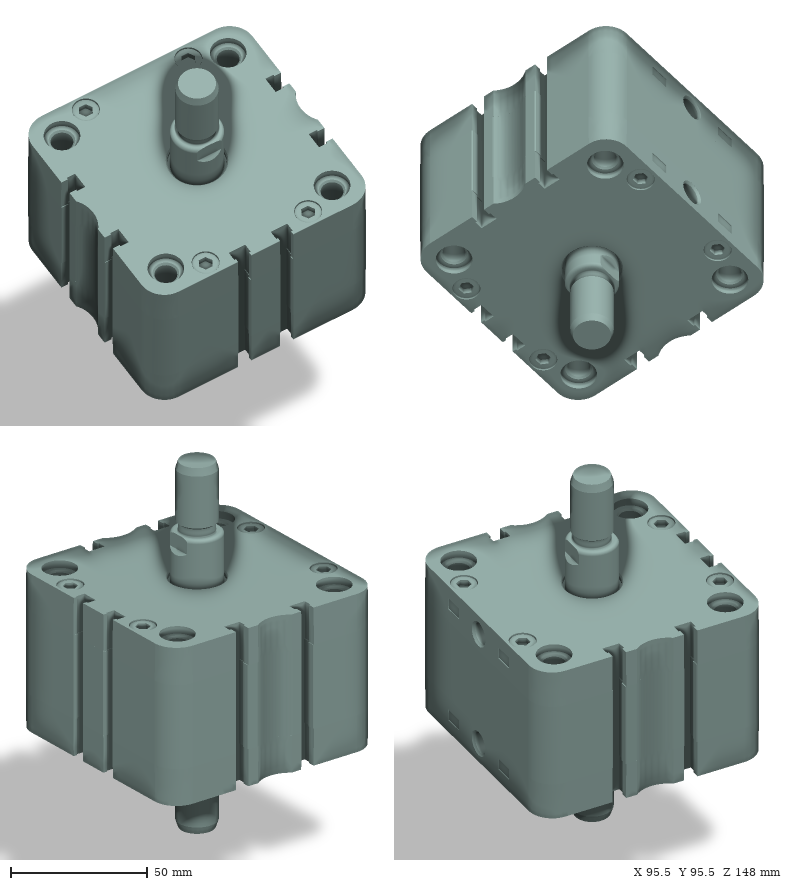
import cadquery as cq
import math


barrel_width = 95.5
barrel_height = 34.0
cap_height = 15.0
draft_angle = 0.5
corner_radius = 10.0
half_width = barrel_width / 2
cap_base_z = barrel_height / 2
block_top_z = cap_base_z + cap_height
cap_draft = cap_height * math.tan(math.radians(draft_angle))

side_slot_offset = 15.0
side_slot_depth = 6.5
side_slot_lip = 3.0
back_slot_offset = 9.1
back_slot_depth = 5.5
back_slot_lip = 1.7
slot_mouth_width = 5.2
slot_inner_width = 6.6
slot_mouth_chamfer = 0.3
cap_slot_clearance = 0.5
groove_radius = 25.0 / 2
groove_depth = 2.6
groove_edge_chamfer = 0.3
groove_centre_y = half_width - groove_depth + groove_radius
groove_half_chord = math.sqrt(groove_radius**2 - (groove_radius - groove_depth) ** 2)

mount_offset = 36.0
mount_recess_diameter = 13.5
mount_recess_depth = 3.0
mount_thread_diameter = 8.38
countersink_diameter = 9.8

screw_x = 41.5
screw_y = 22.2
screw_seat_diameter = 10.3
screw_head_diameter = 9.8
screw_sink = 0.5
screw_gap_depth = 1.0
hex_across_flats = 5.0
hex_depth = 3.0

port_diameter = 8.57
port_sink_diameter = 10.3
port_depth = 6.0
port_from_end = 8.0
label_offset = 18.9
label_from_end = 7.6
label_length = 8.0
label_height = 4.6
label_depth = 0.2

rod_diameter = 20.0
rod_radius = rod_diameter / 2
top_reach = 19.0
bottom_reach = 9.0
stud_length = 28.0
thread_length = 24.0
thread_radius = 16.0 / 2
tip_radius = 14.0 / 2
tip_length = 3.0
undercut_radius = 14.1 / 2
undercut_runout = 0.8
undercut_fillet = 0.4
shoulder_round = 1.5
flat_width = 17.0
flat_length = 6.0
flat_depth = (rod_diameter - flat_width) / 2

opening_mouth_diameter = 23.0
opening_diameter = 21.9
opening_depth = 2.0
lip_diameter = 20.6
opening_chamfer = (opening_mouth_diameter - opening_diameter) / 2
lip_chamfer = (lip_diameter - rod_diameter) / 2


def cone(large_diameter, small_diameter, height):
    """Cone frustum on +Z with its large end at z = 0 and its small end at z = -height."""
    frustum = cq.Solid.makeCone(large_diameter / 2, small_diameter / 2, height, dir=cq.Vector(0, 0, -1))
    return cq.Workplane("XY").newObject([frustum])


def hole(diameter, depth):
    """Cylinder running down from z = 0."""
    return cq.Workplane("XY").circle(diameter / 2).extrude(-depth)


def slot_cutter(base_z, height, depth, lip, clearance, mouth_chamfer):
    """T-slot cutter open towards +Y, with its mouth at y = half_width."""
    mouth = slot_mouth_width + clearance
    inner = slot_inner_width + clearance
    floor_y = half_width - depth
    neck = cq.Workplane("XY").box(mouth, 2 * depth, height, centered=(True, False, False))
    room = cq.Workplane("XY").box(inner, depth - lip, height, centered=(True, False, False))
    cutter = neck.union(room)
    if mouth_chamfer:
        flare = (
            cq.Workplane("XY")
            .moveTo(-mouth / 2 - mouth_chamfer, depth)
            .lineTo(-mouth / 2, depth - mouth_chamfer)
            .lineTo(mouth / 2, depth - mouth_chamfer)
            .lineTo(mouth / 2 + mouth_chamfer, depth)
            .close()
            .extrude(height)
        )
        cutter = cutter.union(flare)
    return cutter.translate((0, floor_y, base_z))


def cut_slots(body, base_z, height, clearance, mouth_chamfer):
    for side in (-1, 1):
        for turn in (0, 180):
            cutter = slot_cutter(base_z, height, side_slot_depth, side_slot_lip, clearance, mouth_chamfer)
            cutter = cutter.translate((side * side_slot_offset, 0, 0))
            body = body.cut(cutter.rotate((0, 0, 0), (0, 0, 1), turn))
        cutter = slot_cutter(base_z, height, back_slot_depth, back_slot_lip, clearance, mouth_chamfer)
        cutter = cutter.translate((side * back_slot_offset, 0, 0))
        body = body.cut(cutter.rotate((0, 0, 0), (0, 0, 1), -90))
    return body


def rounded_square():
    return cq.Sketch().rect(barrel_width, barrel_width).vertices().fillet(corner_radius)


def make_barrel():
    body = cq.Workplane("XY").workplane(offset=-cap_base_z).placeSketch(rounded_square())
    body = body.extrude(barrel_height)
    for side in (-1, 1):
        groove = cq.Workplane("XY").center(0, side * groove_centre_y).circle(groove_radius)
        body = body.cut(groove.extrude(cap_base_z, both=True))
    reach_x = 1.1 * groove_half_chord
    groove_zone = cq.selectors.BoxSelector(
        (-reach_x, -barrel_width, -barrel_height), (reach_x, barrel_width, barrel_height)
    )
    body = body.edges("|Z").edges(groove_zone).chamfer(groove_edge_chamfer)
    body = cut_slots(body, -cap_base_z, barrel_height, 0, slot_mouth_chamfer)
    return body.cut(cq.Workplane("XY").circle(rod_radius).extrude(cap_base_z, both=True))


def cap_blank():
    """Drafted cap block with its grooves and slots."""
    body = cq.Workplane("XY").workplane(offset=cap_base_z).placeSketch(rounded_square())
    body = body.extrude(cap_height, taper=draft_angle)
    for side in (-1, 1):
        groove = cone(2 * (groove_radius + cap_draft), 2 * groove_radius, cap_height)
        body = body.cut(groove.translate((0, side * groove_centre_y, block_top_z)))
    return cut_slots(body, cap_base_z, cap_height, cap_slot_clearance, 0)


def mount_hole():
    sink_depth = (countersink_diameter - mount_thread_diameter) / 2
    sink = cone(countersink_diameter, mount_thread_diameter, sink_depth)
    return (
        hole(mount_thread_diameter, cap_height)
        .union(sink.translate((0, 0, -mount_recess_depth)))
        .union(hole(mount_recess_diameter, mount_recess_depth))
    )


def screw_recess():
    """Shallow seat, ring gap around the head, and hexagon socket."""
    head = hole(screw_head_diameter, screw_gap_depth).translate((0, 0, -screw_sink))
    across_corners = hex_across_flats / math.cos(math.pi / 6)
    socket = cq.Workplane("XY").polygon(6, across_corners).extrude(-hex_depth)
    seat = hole(screw_seat_diameter, screw_gap_depth).cut(head)
    return seat.union(socket.rotate((0, 0, 0), (0, 0, 1), 90))


def rod_opening():
    lip = cone(lip_diameter, rod_diameter, lip_chamfer)
    return (
        hole(rod_diameter, cap_height)
        .union(lip.translate((0, 0, -opening_depth)))
        .union(hole(opening_diameter, opening_depth))
        .union(cone(opening_mouth_diameter, opening_diameter, opening_chamfer))
    )


def port():
    """Threaded port running from the -X side towards the axis."""
    sink_depth = (port_sink_diameter - port_diameter) / 2
    sink = cone(port_sink_diameter, port_diameter, sink_depth)
    mouth = hole(port_sink_diameter, cap_draft).translate((0, 0, cap_draft))
    tool = hole(port_diameter, port_depth).union(sink).union(mouth)
    tool = tool.rotate((0, 0, 0), (0, 1, 0), -90)
    face_x = -half_width + cap_draft * port_from_end / cap_height
    return tool.translate((face_x, 0, block_top_z - port_from_end))


def make_top_cap():
    body = cap_blank()
    for sx in (-1, 1):
        for sy in (-1, 1):
            body = body.cut(mount_hole().translate((sx * mount_offset, sy * mount_offset, block_top_z)))
            body = body.cut(screw_recess().translate((sx * screw_x, sy * screw_y, block_top_z)))
    body = body.cut(rod_opening().translate((0, 0, block_top_z)))
    body = body.cut(port())
    for side in (-1, 1):
        label = cq.Workplane("XY").box(2 * (label_depth + cap_draft), label_length, label_height)
        body = body.cut(label.translate((-half_width, side * label_offset, block_top_z - label_from_end)))
    return body


def rod_end(reach):
    """Upper half of the rod, whose shoulder stands the given reach above the block."""
    shoulder_z = block_top_z + reach
    tip_z = shoulder_z + stud_length
    thread_end_z = tip_z - thread_length
    half = (
        cq.Workplane("XZ")
        .lineTo(rod_radius, 0)
        .lineTo(rod_radius, shoulder_z - shoulder_round)
        .radiusArc((rod_radius - shoulder_round, shoulder_z), -shoulder_round)
        .lineTo(undercut_radius + undercut_fillet, shoulder_z)
        .radiusArc((undercut_radius, shoulder_z + undercut_fillet), undercut_fillet)
        .lineTo(undercut_radius, thread_end_z - undercut_runout)
        .lineTo(thread_radius, thread_end_z)
        .lineTo(thread_radius, tip_z - tip_length)
        .lineTo(tip_radius, tip_z)
        .lineTo(0, tip_z)
        .close()
        .revolve(360, (0, 0, 0), (0, 1, 0))
    )
    flat = (
        cq.Workplane("XZ")
        .moveTo(flat_width / 2, shoulder_z)
        .lineTo(flat_width / 2, shoulder_z - flat_length)
        .lineTo(rod_radius, shoulder_z - flat_length - flat_depth)
        .lineTo(rod_radius, shoulder_z)
        .close()
        .extrude(rod_radius, both=True)
    )
    return half.cut(flat).cut(flat.mirror("YZ"))


def make_rod():
    return rod_end(top_reach).union(rod_end(bottom_reach).mirror("XY"))


barrel = make_barrel()
top_cap = make_top_cap()
bottom_cap = top_cap.mirror("XY")
rod = make_rod()

bodies = [barrel, top_cap, bottom_cap, rod]
result = cq.Compound.makeCompound([body.solids().val() for body in bodies])